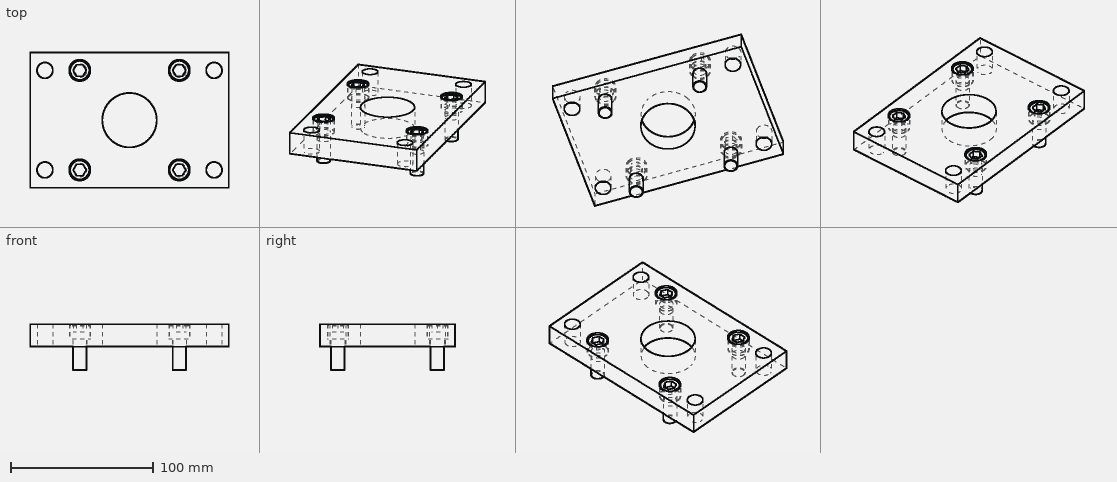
import cadquery as cq
import math

INCH = 25.4

plate_length = 5.5 * INCH
plate_width = 3.75 * INCH
plate_thickness = 5 / 8 * INCH
centre_bore_diameter = 1.5 * INCH

corner_hole_diameter = 11.0
corner_hole_spacing_x = 119.0

screw_spacing = 70.0

shank_diameter = 3 / 8 * INCH
shank_length = 7 / 8 * INCH
shank_tip_chamfer = 1 / 64 * INCH
head_diameter = 9 / 16 * INCH
head_height = shank_diameter
head_edge_chamfer = 0.5
socket_across_flats = 5 / 16 * INCH
socket_depth = head_height / 2

head_recess = 1 / 32 * INCH
counterbore_diameter = 19 / 32 * INCH
counterbore_depth = head_height + head_recess
head_seat_z = plate_thickness - counterbore_depth

screw_points = [
    (side_x * screw_spacing / 2, side_y * screw_spacing / 2)
    for side_x in (-1, 1)
    for side_y in (-1, 1)
]


def make_plate():
    """Rectangular plate with a centre bore, corner holes and counterbored screw holes."""
    blank = cq.Workplane("XY").box(
        plate_length, plate_width, plate_thickness, centered=(True, True, False)
    )
    bored = blank.faces(">Z").workplane(origin=(0, 0, 0)).hole(centre_bore_diameter)
    drilled = (
        bored.faces(">Z").workplane(origin=(0, 0, 0))
        .rarray(corner_hole_spacing_x, screw_spacing, 2, 2)
        .hole(corner_hole_diameter)
    )
    return (
        drilled.faces(">Z").workplane(origin=(0, 0, 0))
        .pushPoints(screw_points)
        .cboreHole(shank_diameter, counterbore_diameter, counterbore_depth)
    )


def make_screw(x, y):
    """Socket head cap screw, head up, seated on the counterbore floor at (x, y)."""
    seat = cq.Workplane("XY", origin=(x, y, head_seat_z))
    head = (
        seat.circle(head_diameter / 2)
        .extrude(head_height)
        .faces(">Z").edges().chamfer(head_edge_chamfer)
    )
    shank = (
        seat.circle(shank_diameter / 2)
        .extrude(-shank_length)
        .faces("<Z").edges().chamfer(shank_tip_chamfer)
    )
    socket_across_corners = socket_across_flats / math.cos(math.radians(30))
    socket = (
        seat.workplane(offset=head_height)
        .polygon(6, socket_across_corners)
        .extrude(-socket_depth)
    )
    return head.union(shank).cut(socket)


plate = make_plate()
screws = [make_screw(x, y) for x, y in screw_points]

result = cq.Compound.makeCompound([plate.val(), *[screw.val() for screw in screws]])